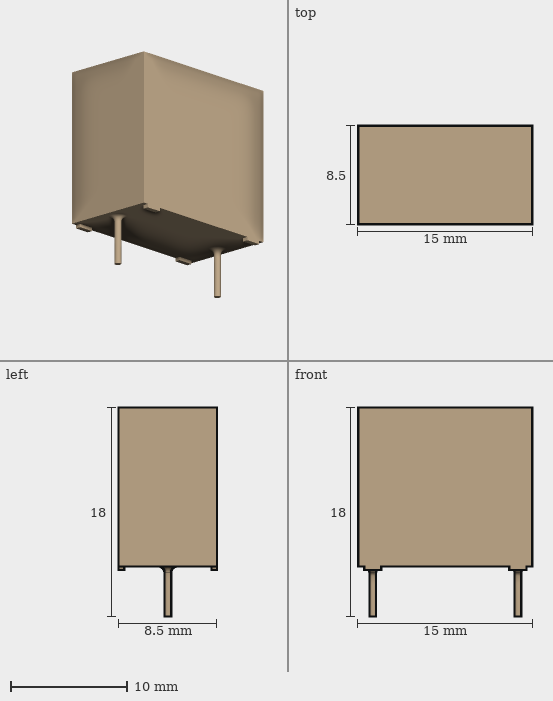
import cadquery as cq

LENGTH = 15.0
WIDTH = 8.5
TOTAL_HEIGHT = 18.0

PIN_DIAMETER = 0.6
PIN_SPACING = 12.5
PIN_LENGTH = 4.3
PIN_FLARE_RADIUS = 0.5

FOOT_LENGTH = 1.5
FOOT_WIDTH = 0.5
FOOT_HEIGHT = 0.3

BODY_HEIGHT = TOTAL_HEIGHT - PIN_LENGTH


def make_body():
    """Rectangular case, raised so that the pins reach down to Z = 0."""
    return (
        cq.Workplane("XY")
        .workplane(offset=PIN_LENGTH)
        .rect(LENGTH, WIDTH)
        .extrude(BODY_HEIGHT)
    )


def make_feet():
    """Four feet, centred on the pins along X and flush with the case along Y."""
    return (
        cq.Workplane("XY")
        .workplane(offset=PIN_LENGTH)
        .rect(PIN_SPACING, WIDTH - FOOT_WIDTH, forConstruction=True)
        .vertices()
        .rect(FOOT_LENGTH, FOOT_WIDTH)
        .extrude(-FOOT_HEIGHT)
    )


def make_pin(x):
    """Round pin with a quarter-circle flare at its root, revolved about its own axis."""
    radius = PIN_DIAMETER / 2
    flare_start = PIN_LENGTH - PIN_FLARE_RADIUS
    flare_outer = radius + PIN_FLARE_RADIUS
    return (
        cq.Workplane("XZ")
        .lineTo(radius, 0)
        .lineTo(radius, flare_start)
        .radiusArc((flare_outer, PIN_LENGTH), PIN_FLARE_RADIUS)
        .lineTo(0, PIN_LENGTH)
        .close()
        .revolve(360, (0, 0), (0, 1))
        .translate((x, 0, 0))
    )


result = make_body().union(make_feet())
for pin_x in (-PIN_SPACING / 2, PIN_SPACING / 2):
    result = result.union(make_pin(pin_x))